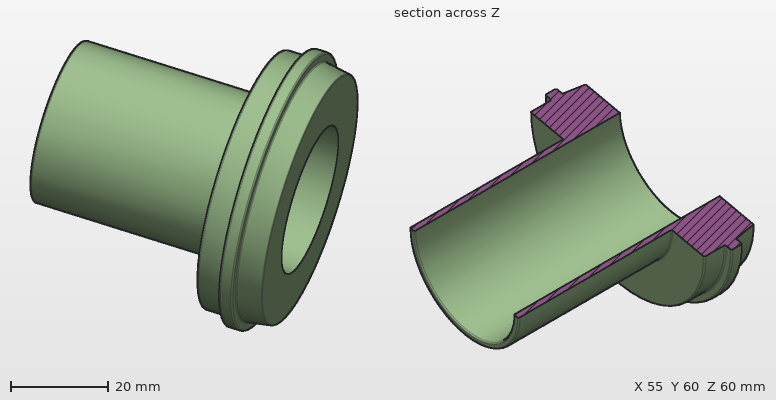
import cadquery as cq
import math

total_length = 55.0
bore_diameter = 32.0
tube_diameter = 35.0
head_diameter = 56.0
rim_diameter = 60.0

tube_length = 41.0
rim_start = 46.55
rim_width = 3.0
taper_angle = 9.5
edge_radius = 0.35
root_radius = 0.25
fine_radius = 0.2
bore_edge_radius = 0.3

rim_end = rim_start + rim_width
nose_length = total_length - rim_end
nose_end_radius = head_diameter / 2 - nose_length * math.tan(math.radians(taper_angle))


def turned_body():
    """Revolve the outer half profile into a solid about the X axis."""
    profile = (
        cq.Workplane("XY")
        .lineTo(0, tube_diameter / 2)
        .lineTo(tube_length, tube_diameter / 2)
        .lineTo(tube_length, head_diameter / 2)
        .lineTo(rim_start, head_diameter / 2)
        .lineTo(rim_start, rim_diameter / 2)
        .lineTo(rim_end, rim_diameter / 2)
        .lineTo(rim_end, head_diameter / 2)
        .lineTo(total_length, nose_end_radius)
        .lineTo(total_length, 0)
        .close()
    )
    return profile.revolve(360, (0, 0, 0), (1, 0, 0))


def circles_at(body, *stations):
    """Select the circular edges whose centres lie at the given (x, radius) stations."""
    edges = [
        edge
        for edge in body.edges("%CIRCLE").vals()
        for x, radius in stations
        if math.isclose(edge.Center().x, x, abs_tol=6e-05)
        and math.isclose(edge.radius(), radius, abs_tol=6e-05)
    ]
    return body.newObject(edges)


body = turned_body()

body = circles_at(
    body,
    (0, tube_diameter / 2),
    (tube_length, head_diameter / 2),
    (rim_start, head_diameter / 2),
    (rim_start, rim_diameter / 2),
    (rim_end, rim_diameter / 2),
).fillet(edge_radius)

body = circles_at(
    body,
    (tube_length, tube_diameter / 2),
    (rim_end, head_diameter / 2),
).fillet(root_radius)
body = circles_at(body, (total_length, nose_end_radius)).fillet(fine_radius)

bore = cq.Workplane("YZ").circle(bore_diameter / 2).extrude(total_length)
body = body.cut(bore)
result = circles_at(body, (0, bore_diameter / 2)).fillet(bore_edge_radius)